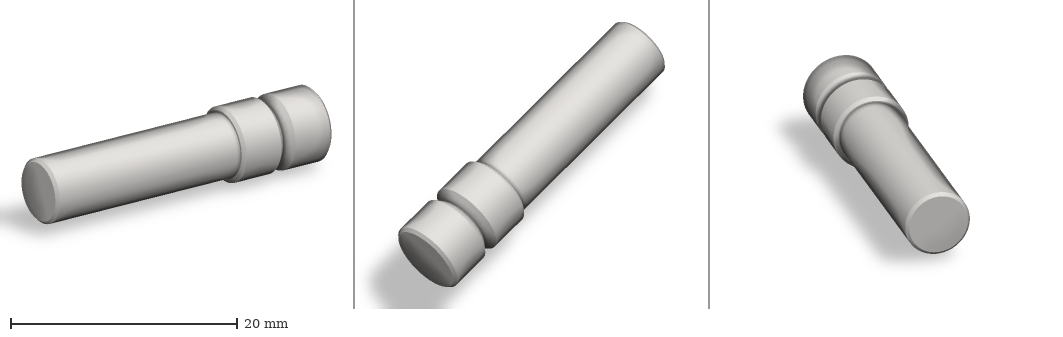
import cadquery as cq

total_length = 29.0
head_length = 9.5
head_radius = 7.0 / 2
shank_radius = 6.0 / 2

head_chamfer = 0.3
shank_chamfer = 0.3

groove_width = 1.5
groove_depth = groove_width / 2

head_end = total_length / 2
shank_end = -total_length / 2
shoulder = head_end - head_length
groove_centre = (head_end + shoulder) / 2

profile = [
    (0, shank_end),
    (shank_radius - shank_chamfer, shank_end),
    (shank_radius, shank_end + shank_chamfer),
    (shank_radius, shoulder),
    (head_radius - head_chamfer, shoulder),
    (head_radius, shoulder + head_chamfer),
    (head_radius, groove_centre - groove_width / 2),
    (head_radius - groove_depth, groove_centre),
    (head_radius, groove_centre + groove_width / 2),
    (head_radius, head_end - head_chamfer),
    (head_radius - head_chamfer, head_end),
    (0, head_end),
]

result = cq.Workplane("XY").polyline(profile).close().revolve(360, (0, 0, 0), (0, 1, 0))